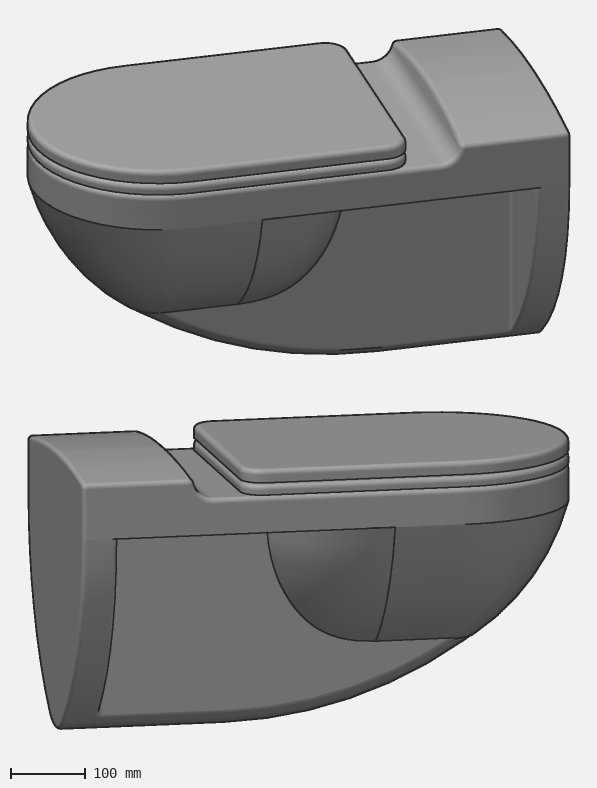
import cadquery as cq
import math


width = 350.0
length = 700.0
height = 380.0
half_width = width / 2
nose_y = -(length - half_width)

skirt_z = 290.5
rim_z = 340.0

crown_rise = 14.0
crown_flat_left = -10.0
crown_flat_right = 0.0
tank_top_depth = 148.0
cove_diameter = 55.0
cove_end_depth = 180.0
cove_start_z = 360.0

plate_thickness = 47.5
keel_width = 102.0
tip_diameter = 124.5
keel_straight_depth = 228.0
keel_radius = 600.5
keel_end_angle = math.radians(35)
keel_cap_height = 35.0

bulge_depth = 428.5
bulge_reach_max = 156.0
bulge_widest_z = 273.0
bulge_side_radius = 228.0
bulge_levels = 6

cover_back_depth = 222.0
cover_corner_radius = 62.0 / 2
seat_bottom_z = 341.5
seat_top_z = 355.5
lid_bottom_z = 358.5
lid_top_z = 376.5

tolerance = 0.1

rim_round = 15.0 / 2
back_round = 12.0 / 2
plate_round = 5.5
lower_edge_round = 1.5

tip_radius = tip_diameter / 2
keel_half_width = keel_width / 2
tip_drop = skirt_z - tip_radius
side_radius = (half_width**2 + tip_drop**2 - tip_radius**2) / (2 * (half_width - tip_radius))
side_center_x = half_width - side_radius
tip_angle = math.atan2(tip_drop, -side_center_x)
tip_tangent_x = tip_radius * math.cos(tip_angle)
tip_tangent_z = tip_radius * (1 - math.sin(tip_angle))

keel_end_depth = keel_straight_depth + keel_radius * math.sin(keel_end_angle)
keel_end_z = keel_radius * (1 - math.cos(keel_end_angle))

bowl_run = length - keel_end_depth
bowl_rise = skirt_z - keel_end_z
bowl_foot_x = half_width - bowl_run
bowl_radius = (bowl_run**2 + bowl_rise**2) / (
    2 * (bowl_rise * math.cos(keel_end_angle) - bowl_run * math.sin(keel_end_angle))
)
bowl_center_x = bowl_foot_x - bowl_radius * math.sin(keel_end_angle)
bowl_center_z = keel_end_z + bowl_radius * math.cos(keel_end_angle)


def side_arc_point(angle):
    """Point (x, z) on the right-hand side arc of the wall plate, angle below horizontal."""
    return side_center_x + side_radius * math.cos(angle), skirt_z - side_radius * math.sin(angle)


def bowl_half_width(z):
    """Half width of the bowl section at height z."""
    return bowl_center_x + math.sqrt(bowl_radius**2 - (bowl_center_z - z)**2)


def bulge_reach(z):
    """How far the rear bulge extends behind its axis at height z."""
    side = math.sqrt(bulge_side_radius**2 - (bulge_widest_z - z)**2)
    return bulge_reach_max - bulge_side_radius + side


def crown_arc_middle(side_x, flat_x):
    """Middle of the arc that leaves the crown's flat strip level and falls to the side."""
    run = side_x - flat_x
    radius = (run**2 + crown_rise**2) / (2 * crown_rise)
    half_angle = math.asin(run / radius) / 2
    return flat_x + radius * math.sin(half_angle), height - radius * (1 - math.cos(half_angle))


def mirrored(point):
    return -point[0], point[1]


def make_upper_block():
    """Rim band and tank with a crowned top, a front cove and rounded edges."""
    cove_radius = cove_diameter / 2
    cove_center_z = rim_z + cove_radius
    start_angle = math.asin((cove_center_z - cove_start_z) / cove_radius)
    cove_start_depth = cove_end_depth - cove_radius * math.cos(start_angle)
    mid_angle = (start_angle + math.pi / 2) / 2
    cove_mid = (
        cove_radius * math.cos(mid_angle) - cove_end_depth,
        cove_center_z - cove_radius * math.sin(mid_angle),
    )
    block = (
        cq.Workplane("YZ")
        .moveTo(0, skirt_z)
        .lineTo(0, height)
        .lineTo(-tank_top_depth, height)
        .lineTo(-cove_start_depth, cove_start_z)
        .threePointArc(cove_mid, (-cove_end_depth, rim_z))
        .lineTo(nose_y, rim_z)
        .lineTo(nose_y, skirt_z)
        .close()
        .extrude(half_width, both=True)
    )
    shoulder_z = height - crown_rise
    crown = (
        cq.Workplane("XZ")
        .moveTo(half_width, shoulder_z)
        .threePointArc(crown_arc_middle(half_width, crown_flat_right), (crown_flat_right, height))
        .lineTo(crown_flat_left, height)
        .threePointArc(crown_arc_middle(-half_width, crown_flat_left), (-half_width, shoulder_z))
        .lineTo(-half_width, skirt_z)
        .lineTo(half_width, skirt_z)
        .close()
        .extrude(length)
    )
    nose = (
        cq.Workplane("XY", origin=(0, nose_y, skirt_z))
        .circle(half_width)
        .extrude(rim_z - skirt_z)
    )
    upper = block.intersect(crown).union(nose)

    def is_top_edge(edge):
        box = edge.BoundingBox()
        on_side = box.xmax - box.xmin < tolerance and abs(edge.Center().x) > half_width - tolerance
        on_nose = box.ymin < nose_y - tolerance
        on_tank_front = abs(edge.Center().y + tank_top_depth) < rim_round and edge.Center().z > shoulder_z
        return box.zmin > skirt_z + tolerance and (on_side or on_nose or on_tank_front)

    top_edges = [edge for edge in upper.edges().vals() if is_top_edge(edge)]
    return upper.newObject(top_edges).fillet(rim_round)


def make_wall_plate():
    """Plate against the wall, tapering to the rounded lower tip."""
    side_mid = side_arc_point(tip_angle / 2)
    tangent = (tip_tangent_x, tip_tangent_z)
    return (
        cq.Workplane("XZ")
        .moveTo(-half_width, skirt_z)
        .threePointArc(mirrored(side_mid), mirrored(tangent))
        .threePointArc((0, 0), tangent)
        .threePointArc(side_mid, (half_width, skirt_z))
        .close()
        .extrude(plate_thickness)
    )


def make_keel_cap():
    """Lower edge of the keel: the tip of the plate outline swept along the keel curve."""
    edge_angle = math.acos((keel_half_width - side_center_x) / side_radius)
    edge = side_arc_point(edge_angle)
    edge_mid = side_arc_point((edge_angle + tip_angle) / 2)
    tangent = (tip_tangent_x, tip_tangent_z)
    half_end = keel_end_angle / 2
    path = (
        cq.Workplane("YZ")
        .moveTo(0, 0)
        .lineTo(-keel_straight_depth, 0)
        .threePointArc(
            (
                -keel_straight_depth - keel_radius * math.sin(half_end),
                keel_radius * (1 - math.cos(half_end)),
            ),
            (-keel_end_depth, keel_end_z),
        )
    )
    return (
        cq.Workplane("XZ")
        .moveTo(-keel_half_width, keel_cap_height)
        .lineTo(*mirrored(edge))
        .threePointArc(mirrored(edge_mid), mirrored(tangent))
        .threePointArc((0, 0), tangent)
        .threePointArc(edge_mid, edge)
        .lineTo(keel_half_width, keel_cap_height)
        .close()
        .sweep(path)
    )


def make_keel_web():
    """Flat-sided keel above its swept lower edge."""
    web_radius = keel_radius - keel_cap_height

    def web_point(angle):
        return (
            -keel_straight_depth - web_radius * math.sin(angle),
            keel_radius - web_radius * math.cos(angle),
        )

    end = web_point(keel_end_angle)
    return (
        cq.Workplane("YZ")
        .moveTo(0, skirt_z)
        .lineTo(0, keel_cap_height)
        .lineTo(-keel_straight_depth, keel_cap_height)
        .threePointArc(web_point(keel_end_angle / 2), end)
        .lineTo(end[0], skirt_z)
        .close()
        .extrude(keel_half_width, both=True)
    )


def make_bowl():
    """Bowl with a revolved front, a straight middle and a rear bulge."""
    foot = (bowl_foot_x, keel_end_z)
    side_z = (keel_end_z + skirt_z) / 2
    side = (bowl_half_width(side_z), side_z)
    top = (half_width, skirt_z)
    middle = (
        cq.Workplane("XZ", origin=(0, -bulge_depth, 0))
        .moveTo(*mirrored(top))
        .threePointArc(mirrored(side), mirrored(foot))
        .lineTo(*foot)
        .threePointArc(side, top)
        .close()
        .extrude(-nose_y - bulge_depth)
    )
    front = (
        cq.Workplane("XZ", origin=(0, nose_y, 0))
        .moveTo(0, skirt_z)
        .lineTo(0, keel_end_z)
        .lineTo(*foot)
        .threePointArc(side, top)
        .close()
        .revolve(360, (0, 0), (0, 1))
    )

    level_step = (skirt_z - keel_end_z) / (bulge_levels - 1)
    bulge = cq.Workplane("XY", origin=(0, -bulge_depth, keel_end_z))
    for level in range(bulge_levels):
        z = keel_end_z + level * level_step
        if level > 0:
            bulge = bulge.workplane(offset=level_step)
        bulge = bulge.ellipse(bowl_half_width(z), bulge_reach(z))
    bulge = bulge.loft()
    rear_space = (
        cq.Workplane("XY", origin=(0, -bulge_depth, 0))
        .rect(width, bulge_depth)
        .extrude(skirt_z)
        .translate((0, bulge_depth / 2, 0))
    )
    return middle.union(front).union(bulge.intersect(rear_space))


def round_plate_and_keel(body):
    """Round the plate rim, the lower edges of the keel and the corners between the two."""

    def is_rounded(edge):
        box = edge.BoundingBox()
        on_plate_front = max(abs(box.ymin + plate_thickness), abs(box.ymax + plate_thickness)) < tolerance
        on_keel_side = abs(abs(edge.Center().x) - keel_half_width) < tolerance
        is_plate_rim = on_plate_front and edge.geomType() == "CIRCLE"
        is_corner = on_plate_front and on_keel_side
        is_keel_lower_edge = on_keel_side and box.zmax < skirt_z - tolerance
        return is_plate_rim or is_corner or is_keel_lower_edge

    rounded = [edge for edge in body.edges().vals() if is_rounded(edge)]
    return body.newObject(rounded).fillet(plate_round)


def make_ceramic():
    """The one-piece ceramic body."""
    body = make_upper_block().union(make_wall_plate()).union(make_keel_web()).union(make_keel_cap())
    body = round_plate_and_keel(body).union(make_bowl())
    return body.faces(">Y").edges().fillet(back_round)


def make_cover(bottom_z, top_z):
    """Flat cover with a round front, rounded back corners and rounded edges."""
    cover = (
        cq.Workplane("XY", origin=(0, 0, bottom_z))
        .moveTo(-half_width, nose_y)
        .lineTo(-half_width, -cover_back_depth)
        .lineTo(half_width, -cover_back_depth)
        .lineTo(half_width, nose_y)
        .threePointArc((0, -length), (-half_width, nose_y))
        .close()
        .extrude(top_z - bottom_z)
        .edges("|Z and >Y")
        .fillet(cover_corner_radius)
    )
    cover = cover.faces(">Z").edges().fillet(rim_round)
    return cover.faces("<Z").edges().fillet(lower_edge_round)


ceramic = make_ceramic()
seat = make_cover(seat_bottom_z, seat_top_z)
lid = make_cover(lid_bottom_z, lid_top_z)

result = cq.Compound.makeCompound([ceramic.val(), seat.val(), lid.val()])